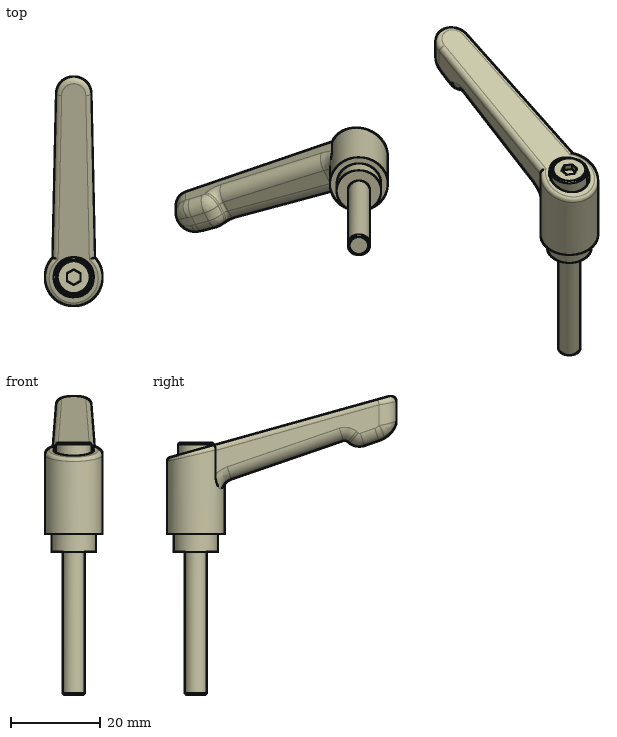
import cadquery as cq
import math


stud_diameter = 5.0
stud_length = 32.0
stud_chamfer = 0.4
collar_diameter = 10.0
collar_height = 4.0

hub_diameter = 13.0
hub_radius = hub_diameter / 2
hub_bottom = collar_height
hub_rim_radius = 1.0

arm_reach = 45.0
tip_radius = 4.0
tip_center = arm_reach - tip_radius
tip_overrun = 0.4
arm_taper = math.radians(1.25)
arm_half_width_at_axis = (tip_radius + tip_center * math.sin(arm_taper)) / math.cos(arm_taper)
tip_tangent_x = tip_radius * math.cos(arm_taper)
tip_tangent_y = tip_center + tip_radius * math.sin(arm_taper)

top_slope = math.tan(math.radians(15.6))
top_height_at_axis = 22.85
top_edge_radius = 1.3

under_slope = math.tan(math.radians(19.0))
under_height_at_axis = 13.5
under_edge_radius = 3.0
grip_depth = 2.75
grip_heel = 35.9
step_slope = math.tan(math.radians(40.0))
step_run = grip_depth / (under_slope + step_slope)
arm_root = 5.9

grip_tip_radius = 6.5
grip_heel_radius = 3.5
step_radius = 1.0
root_radius = 3.0

head_diameter = 8.0
head_top = 24.5
head_height = 5.0
head_chamfer = 0.4
socket_flats = 3.0
socket_depth = 1.5
recess_diameter = 9.0
recess_floor = head_top - head_height


def top_height(y):
    return top_height_at_axis + y * top_slope


def under_height(y):
    return under_height_at_axis + y * under_slope


def grip_height(y):
    return under_height(y) - grip_depth


def arm_side_slab():
    """Side outline of the arm, wide as the hub, with the corners of its underside rounded."""
    step_end = grip_heel - step_run
    slab_end = arm_reach + tip_overrun
    tip_corner = (slab_end, grip_height(slab_end))
    heel_corner = (grip_heel, grip_height(grip_heel))
    step_corner = (step_end, under_height(step_end))
    root_corner = (arm_root, under_height(arm_root))
    outline = [
        (0, top_height(0)),
        (slab_end, top_height(slab_end)),
        tip_corner,
        heel_corner,
        step_corner,
        root_corner,
        (arm_root, hub_bottom),
        (0, hub_bottom),
    ]
    slab = cq.Workplane("YZ").polyline(outline).close().extrude(hub_radius, both=True)
    rounded_corners = [
        (tip_corner, grip_tip_radius),
        (heel_corner, grip_heel_radius),
        (step_corner, step_radius),
        (root_corner, root_radius),
    ]
    for (y, z), radius in rounded_corners:
        slab = slab.edges(cq.selectors.NearestToPointSelector((0, y, z))).fillet(radius)
    return slab


def arm_plan_column():
    """Tapering plan of the arm with a round tip, extruded past the top of the arm."""
    return (
        cq.Workplane("XY", origin=(0, 0, hub_bottom))
        .moveTo(-arm_half_width_at_axis, 0)
        .lineTo(-tip_tangent_x, tip_tangent_y)
        .threePointArc((0, arm_reach), (tip_tangent_x, tip_tangent_y))
        .lineTo(arm_half_width_at_axis, 0)
        .close()
        .extrude(top_height(arm_reach))
    )


def build_arm():
    arm = arm_side_slab().intersect(arm_plan_column())
    edge_x = (tip_radius + arm_half_width_at_axis) / 2
    edge_y = tip_center / 2
    under_edge = cq.selectors.NearestToPointSelector((edge_x, edge_y, under_height(edge_y)))
    arm = arm.edges(under_edge).fillet(under_edge_radius)
    top_edge = cq.selectors.NearestToPointSelector((edge_x, edge_y, top_height(edge_y)))
    return arm.edges(top_edge).fillet(top_edge_radius)


def build_hub():
    """Cylinder cut off by the top plane, with a rounded rim."""
    outline = [
        (-hub_radius, hub_bottom),
        (hub_radius, hub_bottom),
        (hub_radius, top_height(hub_radius)),
        (-hub_radius, top_height(-hub_radius)),
    ]
    slab = cq.Workplane("YZ").polyline(outline).close().extrude(hub_radius, both=True)
    column = cq.Workplane("XY", origin=(0, 0, hub_bottom)).circle(hub_radius).extrude(top_height(hub_radius))
    return column.intersect(slab).edges(">Z").fillet(hub_rim_radius)


def build_lever():
    recess = (
        cq.Workplane("XY", origin=(0, 0, recess_floor))
        .circle(recess_diameter / 2)
        .extrude(top_height(hub_radius))
    )
    return build_hub().union(build_arm()).cut(recess)


def build_screw():
    """Screw head with a hexagon socket."""
    head = (
        cq.Workplane("XY", origin=(0, 0, recess_floor))
        .circle(head_diameter / 2)
        .extrude(head_height)
        .faces(">Z")
        .chamfer(head_chamfer)
    )
    socket = (
        cq.Workplane("XY", origin=(0, 0, head_top - socket_depth))
        .polygon(6, socket_flats, circumscribed=True)
        .extrude(socket_depth)
    )
    return head.cut(socket)


def build_insert():
    """Collar with the stud hanging below it."""
    stud = cq.Workplane("XY").circle(stud_diameter / 2).extrude(-stud_length)
    stud = stud.faces("<Z").chamfer(stud_chamfer)
    collar = cq.Workplane("XY").circle(collar_diameter / 2).extrude(collar_height)
    return collar.union(stud)


lever = build_lever()
screw = build_screw()
insert = build_insert()

result = cq.Compound.makeCompound([lever.val(), screw.val(), insert.val()])